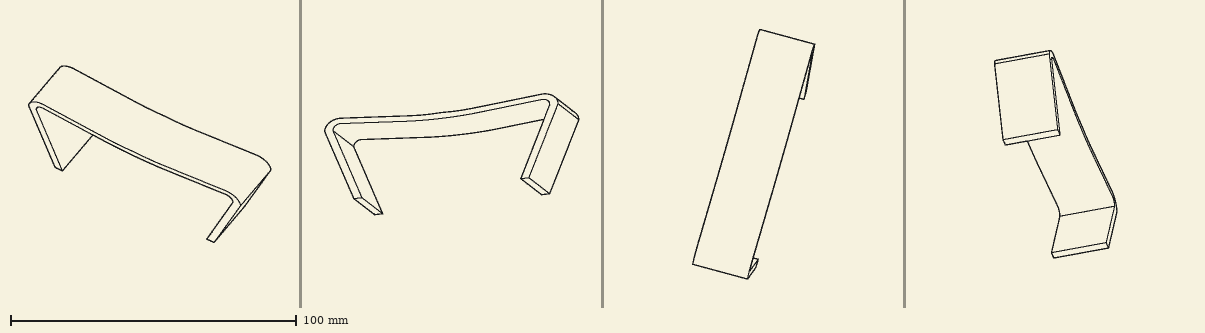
import cadquery as cq

length = 88.0
width = 20.0
height = 30.3

foot_outer_x = 33.0
foot_thickness = 3.1
shoulder_z = 26.0
inner_shoulder_x = 40.8

bend_end_x = 38.2

plate_thickness = 2.0
plate_slope = 1 / 12.1
dish_half_length = 12.0
dish_top_z = 27.9
dish_bottom_z = 25.7
dish_underside_mid_z = 25.8
dish_underside_mid = (dish_half_length / 2, dish_underside_mid_z)

slope_drop = (bend_end_x - dish_half_length) * plate_slope
plate_underside_z = height - plate_thickness
outer_bend_run = length / 2 - bend_end_x
outer_bend_rise = height - shoulder_z
inner_bend_run = inner_shoulder_x - bend_end_x
inner_bend_rise = plate_underside_z - shoulder_z


def build_half():
    """Half of the bent strip on the positive X side of the middle plane."""
    profile = (
        cq.Workplane("XZ")
        .moveTo(foot_outer_x, 0)
        .lineTo(length / 2, shoulder_z)
        .ellipseArc(outer_bend_run, outer_bend_rise, 0, 90)
        .lineTo(dish_half_length, height - slope_drop)
        .tangentArcPoint((0, dish_top_z), relative=False)
        .lineTo(0, dish_bottom_z)
        .threePointArc(dish_underside_mid, (dish_half_length, plate_underside_z - slope_drop))
        .lineTo(bend_end_x, plate_underside_z)
        .ellipseArc(inner_bend_run, inner_bend_rise, 0, 90, sense=-1)
        .lineTo(foot_outer_x - foot_thickness, 0)
        .close()
    )
    return profile.extrude(width / 2, both=True)


half = build_half()
result = half.union(half.mirror("YZ"))